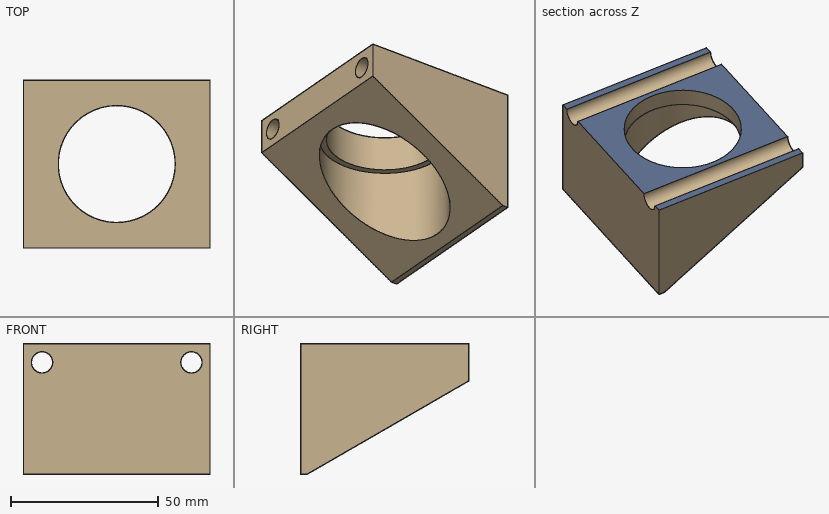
import cadquery as cq
import math

width = 63.5
depth = 57.15
height = 44.45

rear_height = 12.7
slope_angle = 30.0
foot_depth = depth - (height - rear_height) / math.tan(math.radians(slope_angle))

bore_diameter = 39.69
counterbore_diameter = 44.45
collar_height = 12.7

mount_hole_diameter = 7.14
mount_hole_inset = 6.35


def make_wedge():
    """Side profile in the YZ plane, extruded across the width."""
    profile = [
        (0, 0),
        (depth, 0),
        (depth, -rear_height),
        (foot_depth, -height),
        (0, -height),
    ]
    return cq.Workplane("YZ").polyline(profile).close().extrude(width / 2, both=True)


def make_bore():
    """Through bore plus the larger counterbore cut from below the collar."""
    bore_axis = cq.Workplane("XY").center(0, depth / 2)
    bore = bore_axis.circle(bore_diameter / 2).extrude(-height)
    counterbore = (
        bore_axis.workplane(offset=-collar_height)
        .circle(counterbore_diameter / 2)
        .extrude(collar_height - height)
    )
    return bore.union(counterbore)


def make_mount_holes():
    """Pair of holes near the top corners, right through from front to rear."""
    hole_x = width / 2 - mount_hole_inset
    return (
        cq.Workplane("XZ")
        .pushPoints([(-hole_x, -mount_hole_inset), (hole_x, -mount_hole_inset)])
        .circle(mount_hole_diameter / 2)
        .extrude(-depth)
    )


result = make_wedge().cut(make_bore()).cut(make_mount_holes())